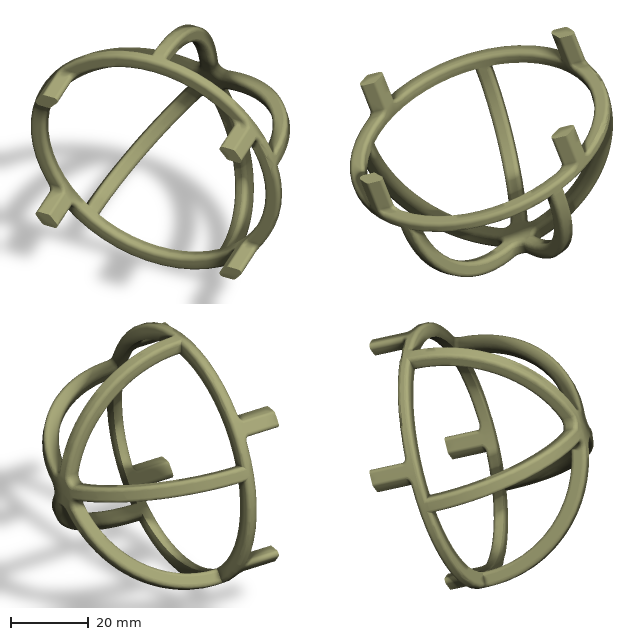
import cadquery as cq
import math

OUTER_RADIUS = 35.0
BAR_WIDTH = 4.0
RING_THICKNESS = 3.0
LEG_LENGTH = 10.0
LEG_HEIGHT = 20.45
EDGE_ROUND = 1.0
HUB_CORNER_RADIUS = 2.0
RIB_COUNT = 5

INNER_RADIUS = OUTER_RADIUS - BAR_WIDTH
HALF_WIDTH = BAR_WIDTH / 2
RIB_PITCH = 360 / RIB_COUNT
STUB_DEPTH = RING_THICKNESS / 2
LEG_END = -RING_THICKNESS - LEG_LENGTH
HUB_REACH = 1.2 * HALF_WIDTH / math.sin(math.radians(RIB_PITCH / 2))
BEYOND = 2 * OUTER_RADIUS
GAP = 0.01


def turned(shape, angle):
    """Turn a shape about the dome axis, from +Z toward +X."""
    return shape.rotate((0, 0, 0), (0, 1, 0), angle)


def annulus(depth):
    """Tube with its back face on Y = 0, reaching toward -Y."""
    return cq.Workplane("XZ").circle(OUTER_RADIUS).circle(INNER_RADIUS).extrude(depth)


def edges_between(y_low, y_high, reach=BEYOND):
    """Selector for edges centred between two Y levels and within reach of the axis in X and Z."""
    return cq.selectors.BoxSelector((-reach, y_low, -reach), (reach, y_high, reach))


def star_prism():
    """Prism of equal radial bars with rounded corners between them."""
    base = cq.Workplane("XZ", origin=(0, -STUB_DEPTH, 0))
    bar = base.rect(BAR_WIDTH, BEYOND, centered=(True, False)).extrude(-BEYOND)
    star = bar
    for i in range(1, RIB_COUNT):
        star = star.union(turned(bar, i * RIB_PITCH))
    return star.edges("|Y").edges(edges_between(0, BEYOND, HUB_REACH)).fillet(HUB_CORNER_RADIUS)


def foot_blend(side):
    """Concave blend along the foot of the +Z rib, on its +X (1) or -X (-1) side."""
    return (
        cq.Workplane("XY", origin=(0, 0, INNER_RADIUS / 2))
        .moveTo(side * (HALF_WIDTH + EDGE_ROUND), 0)
        .radiusArc((side * HALF_WIDTH, EDGE_ROUND), side * EDGE_ROUND)
        .lineTo(0, EDGE_ROUND)
        .lineTo(0, 0)
        .close()
        .extrude(BEYOND)
    )


def blended_sector():
    """Back half of the ring between the +Z rib and the next rib toward +X."""
    pitch = math.radians(RIB_PITCH)
    next_rib = (BEYOND * math.sin(pitch), BEYOND * math.cos(pitch))
    wedge = (
        cq.Workplane("XZ")
        .polyline([(0, 0), (0, BEYOND), (BEYOND, BEYOND), next_rib])
        .close()
        .extrude(STUB_DEPTH)
    )
    return annulus(STUB_DEPTH).intersect(wedge)


def rounded_dome():
    """Ribs of a spherical shell; one sector flows into the ring through blended rib feet."""
    ball = cq.Workplane("XZ").sphere(OUTER_RADIUS).cut(cq.Workplane("XZ").sphere(INNER_RADIUS))
    back_half = cq.Workplane("XZ").rect(2 * BEYOND, 2 * BEYOND).extrude(-BEYOND)
    shell = ball.intersect(back_half).union(annulus(STUB_DEPTH))
    star = star_prism().union(foot_blend(1)).union(turned(foot_blend(-1), RIB_PITCH))
    dome = star.intersect(shell).union(blended_sector())
    return dome.edges(edges_between(OUTER_RADIUS / 4, BEYOND)).fillet(EDGE_ROUND)


def rounded_ring_with_legs():
    """Ring with four legs; its inner back edge stays sharp."""
    body = annulus(RING_THICKNESS)
    for side in (1, -1):
        slab = cq.Workplane("XY").box(BEYOND, BEYOND, BAR_WIDTH).translate((0, 0, side * LEG_HEIGHT))
        body = body.union(annulus(-LEG_END).intersect(slab))
    leg_roots = edges_between(-RING_THICKNESS - GAP, -RING_THICKNESS + GAP)
    body = body.edges("|X").edges(leg_roots).fillet(EDGE_ROUND)
    leg_sides = edges_between(LEG_END + GAP, -RING_THICKNESS - EDGE_ROUND)
    body = body.edges("|Y").edges(leg_sides).fillet(EDGE_ROUND)
    outer_edges = cq.selectors.RadiusNthSelector(-1)
    return body.edges(outer_edges).edges(">Y").fillet(EDGE_ROUND)


result = rounded_ring_with_legs().union(rounded_dome())